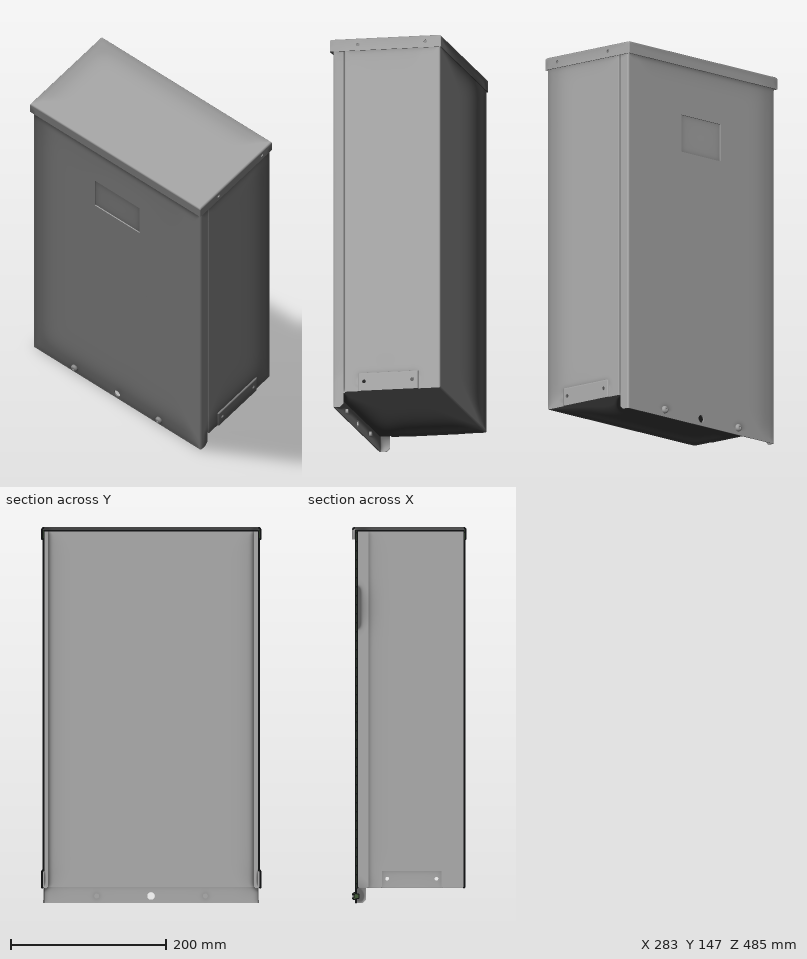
import cadquery as cq

height = 485.0
sheet = 1.5

cap_width = 283.0
cap_depth = 147.0
cap_front = -cap_depth / 2
cap_back = cap_depth / 2
cap_skirt = 16.0
cap_bottom = height - cap_skirt
cap_edge_radius = 3.0
cap_corner_radius = 1.0
cap_hole_diameter = 4.3
cap_hole_ys = (-36.0, 53.0)
cap_hole_z = 476.5

cap_headroom = 2.0
housing_top = height - sheet - cap_headroom
housing_width = 279.5
housing_front = -54.0
housing_back = cap_back - sheet
housing_bottom = 19.5
housing_front_radius = 1.0
housing_back_radius = 2.5
housing_lower_back_radius = 2.0

pad_front = -36.5
pad_back = 43.0
pad_top = 43.0
pad_edge_radius = 2.0
pad_hole_diameter = 4.8
pad_hole_ys = (-28.0, 35.5)
pad_hole_z = 31.5

door_width = 278.5
door_front = -69.5
door_flange_end = -56.0
door_radius = 2.5
door_chamfer = 4.5
window_width = 74.0
window_bottom = 356.5
window_top = 405.5
lock_hole_diameter = 9.5

collar_clearance = 3.5
collar_width = door_width - 2 * (sheet + collar_clearance)
collar_front = door_front + sheet

screw_spacing = 140.0
screw_xs = (-screw_spacing / 2, screw_spacing / 2)
screw_z = 9.0
screw_tip = cap_front
screw_head_diameter = 9.5
screw_head_radius = 3.0
screw_shank_diameter = 6.5
screw_shank_length = 5.0
screw_socket_diameter = 3.3
screw_socket_depth = 2.0


def block(width, front, back, bottom, top):
    """Box centred on X that spans front..back in Y and bottom..top in Z."""
    box = cq.Workplane("XY").box(width, back - front, top - bottom, centered=(True, False, False))
    return box.translate((0, front, bottom))


def cylinder(diameter, front, back):
    """Round bar along the Y axis that spans front..back."""
    return cq.Workplane("XZ", origin=(0, back, 0)).circle(diameter / 2).extrude(back - front)


def cross_bars(diameter, ys, z):
    """Round bars along X that cut matching holes in both sides."""
    centres = [(y, z) for y in ys]
    return cq.Workplane("YZ").pushPoints(centres).circle(diameter / 2).extrude(cap_width, both=True)


def make_cap():
    """Shallow lid, open below, with rounded upper edges."""
    outside = block(cap_width, cap_front, cap_back, cap_bottom, height)
    outside = outside.edges("|Z").fillet(cap_corner_radius)
    outside = outside.faces(">Z").edges().fillet(cap_edge_radius)
    inside_width = cap_width - 2 * sheet
    inside = block(inside_width, cap_front + sheet, cap_back - sheet, cap_bottom, height - sheet)
    inside = inside.faces(">Z").edges().fillet(cap_edge_radius - sheet)
    return outside.cut(inside).cut(cross_bars(cap_hole_diameter, cap_hole_ys, cap_hole_z))


def make_housing_outside():
    """Solid envelope of the housing: main box, front collar and side pads."""
    body = block(housing_width, housing_front, housing_back, housing_bottom, housing_top)
    lower_back_round = body.edges("<Z and >Y").fillet(housing_lower_back_radius)
    body = body.edges("|Z and <Y").fillet(housing_front_radius)
    body = body.edges("|Z and >Y").fillet(housing_back_radius)
    body = body.intersect(lower_back_round)

    collar = block(collar_width, collar_front, housing_front, housing_bottom, housing_top)

    pads = block(cap_width, pad_front, pad_back, housing_bottom, pad_top)
    pads = pads.faces("<X or >X").edges("|Z or >Z").fillet(pad_edge_radius)
    return body.union(collar).union(pads)


def make_housing_inside():
    """Hollow of the housing, one sheet thickness inside its envelope."""
    floor = housing_bottom + sheet
    ceiling = housing_top - sheet
    front_wall = housing_front + sheet
    body = block(housing_width - 2 * sheet, front_wall, housing_back - sheet, floor, ceiling)
    body = body.edges("|Z and >Y").fillet(housing_back_radius - sheet)
    collar = block(collar_width - 2 * sheet, collar_front + sheet, front_wall, floor, ceiling)
    pads = block(cap_width - 2 * sheet, pad_front + sheet, pad_back - sheet, floor, pad_top - sheet)
    return body.union(collar).union(pads)


def make_housing():
    shell = make_housing_outside().cut(make_housing_inside())
    return shell.cut(cross_bars(pad_hole_diameter, pad_hole_ys, pad_hole_z))


def make_door():
    """Front panel with a flange on each side, a window, a lock hole and two screw holes."""
    door = block(door_width, door_front, door_flange_end, 0, housing_top)
    door = door.edges("<Z and >Y").chamfer(door_chamfer)
    door = door.edges("|Z and <Y").fillet(door_radius)
    inside = block(door_width - 2 * sheet, door_front + sheet, door_flange_end, 0, housing_top)
    inside = inside.edges("|Z and <Y").fillet(door_radius - sheet)
    door = door.cut(inside)

    door = door.cut(block(window_width, door_front, door_flange_end, window_bottom, window_top))
    door = door.cut(cylinder(lock_hole_diameter, door_front, door_flange_end).translate((0, 0, screw_z)))
    screw_hole = cylinder(screw_shank_diameter, door_front, door_flange_end)
    for x in screw_xs:
        door = door.cut(screw_hole.translate((x, 0, screw_z)))
    return door


def make_screw(x):
    """Button head screw with a round socket; its axis is along Y."""
    head = cylinder(screw_head_diameter, screw_tip, door_front)
    head = head.faces("<Y").edges().fillet(screw_head_radius)
    shank = cylinder(screw_shank_diameter, door_front, door_front + screw_shank_length)
    socket = cylinder(screw_socket_diameter, screw_tip, screw_tip + screw_socket_depth)
    return head.union(shank).cut(socket).translate((x, 0, screw_z))


cap = make_cap()
housing = make_housing()
door = make_door()
screws = [make_screw(x) for x in screw_xs]

result = cq.Compound.makeCompound(
    [cap.val(), housing.val(), door.val(), *[screw.val() for screw in screws]]
)